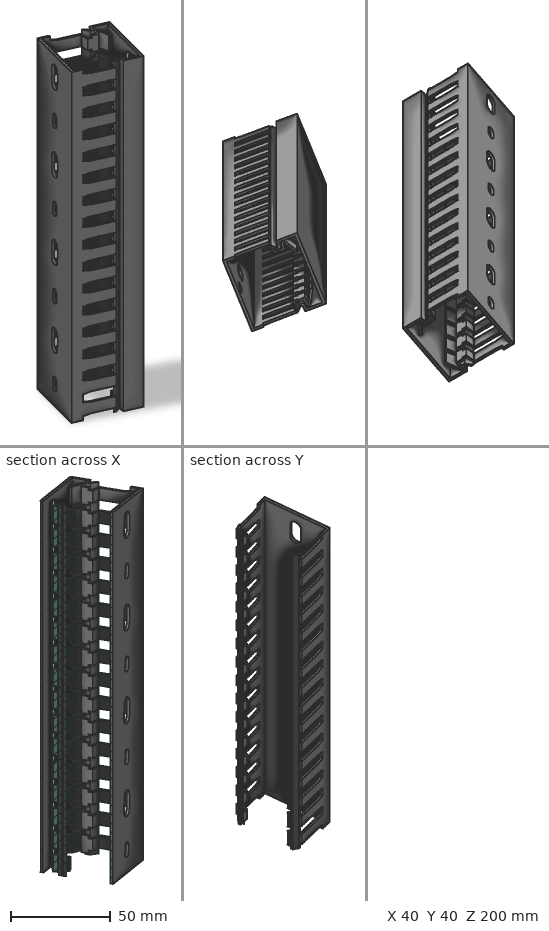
import cadquery as cq

WIDTH = 40.0
DEPTH = 40.0
LENGTH = 200.0
HALF_WIDTH = WIDTH / 2
BACK = DEPTH / 2
FRONT = -DEPTH / 2

SIDE_WALL = 1.3
FLOOR = 1.5
COVER_PLATE = 1.5

FINGER_COUNT = 16
FINGER_PITCH = LENGTH / FINGER_COUNT
SLOT_WIDTH = 6.0
SLOT_END_WIDTH = 4.5
SLOT_END = FRONT + 6.5
SLOT_TAPER = FRONT + 10.5
CLIP_SLOT_WIDTH = 3.0
SLOT_STEP = 7.2

HOLE_COUNT = 4
HOLE_PITCH = LENGTH / HOLE_COUNT
LARGE_HOLE_WIDTH = 6.5
LARGE_HOLE_LENGTH = 14.0
LARGE_HOLE_OFFSET = HOLE_PITCH * 3 / 4
SMALL_HOLE_WIDTH = 4.5
SMALL_HOLE_LENGTH = 8.0
SMALL_HOLE_OFFSET = HOLE_PITCH / 4

FINGER_TOP = 4.8
HOOK_TIP = 4.0
COVER_EDGE = 8.8

BASE_HALF = [
    (0, FRONT),
    (0, FINGER_TOP),
    (SIDE_WALL, FINGER_TOP),
    (SIDE_WALL, HOOK_TIP),
    (2.2, 4.5),
    (5.5, 5.8),
    (5.5, 9.8),
    (3.2, 10.2),
    (1.5, 10.8),
    (1.5, 12.2),
    (9.0, 16.5),
    (9.5, 16.0),
    (9.5, 15.0),
    (2.8, 11.5),
    (6.5, 11.0),
    (6.5, 4.8),
    (SIDE_WALL, 3.5),
    (SIDE_WALL, FRONT + FLOOR),
]

COVER_HALF = [
    (0, BACK),
    (0, COVER_EDGE),
    (3.5, 8.5),
    (3.5, 7.5),
    (SIDE_WALL, 5.5),
    (SIDE_WALL, HOOK_TIP),
    (4.5, 7.2),
    (4.5, 9.8),
    (SIDE_WALL, 10.0),
    (SIDE_WALL, BACK - COVER_PLATE),
]


def mirrored_extrusion(half):
    right = [(HALF_WIDTH - inset, y) for inset, y in half]
    left = [(-x, y) for x, y in reversed(right)]
    return cq.Workplane("XY").polyline(right + left).close().extrude(LENGTH)


def finger_slot(z):
    upper = [
        (SLOT_END, SLOT_END_WIDTH / 2),
        (SLOT_TAPER, SLOT_WIDTH / 2),
        (SLOT_STEP, SLOT_WIDTH / 2),
        (SLOT_STEP, CLIP_SLOT_WIDTH / 2),
        (BACK, CLIP_SLOT_WIDTH / 2),
    ]
    lower = [(y, -dz) for y, dz in reversed(upper)]
    points = [(y, z + dz) for y, dz in upper + lower]
    return cq.Workplane("YZ").polyline(points).close().extrude(HALF_WIDTH, both=True)


def floor_holes(width, length, offset):
    centers = [(0, offset + i * HOLE_PITCH) for i in range(HOLE_COUNT)]
    return (
        cq.Workplane("XZ", origin=(0, FRONT + FLOOR, 0))
        .pushPoints(centers)
        .slot2D(length, width, 90)
        .extrude(FLOOR)
    )


def make_base():
    base = mirrored_extrusion(BASE_HALF)
    for i in range(FINGER_COUNT + 1):
        base = base.cut(finger_slot(i * FINGER_PITCH))
    base = base.cut(floor_holes(LARGE_HOLE_WIDTH, LARGE_HOLE_LENGTH, LARGE_HOLE_OFFSET))
    return base.cut(floor_holes(SMALL_HOLE_WIDTH, SMALL_HOLE_LENGTH, SMALL_HOLE_OFFSET))


def make_cover():
    return mirrored_extrusion(COVER_HALF)


base = make_base()
cover = make_cover()
result = cq.Compound.makeCompound([base.val(), cover.val()])